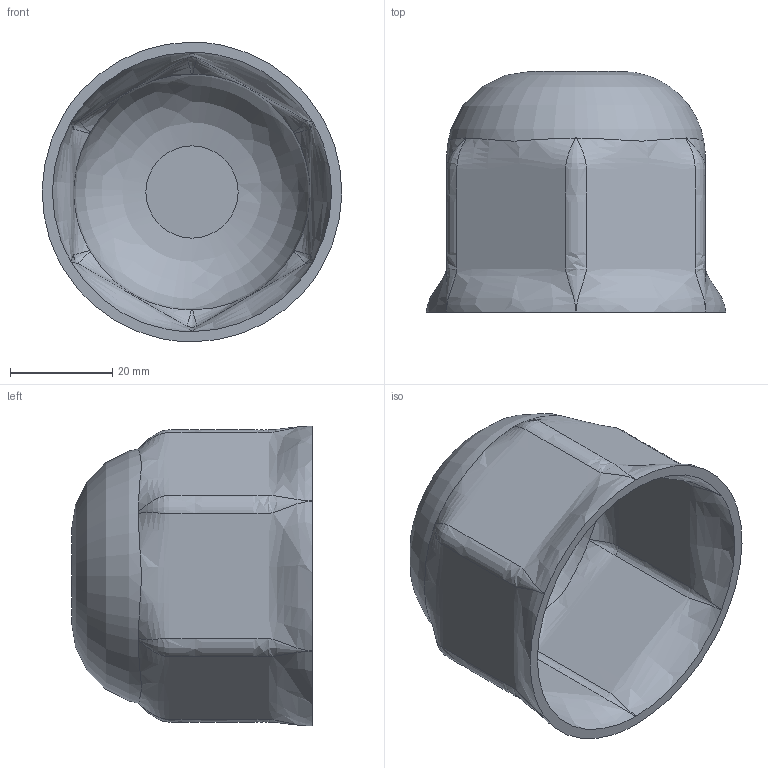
import math

import cadquery as cq

wall = 2.0
total_height = 47.0
rim_radius = 29.25
hex_apothem = 25.25
hex_corner_radius = 4.0
dome_radius = 25.15
dome_flat_radius = 9.0

flare_height = 8.4
flare_rim_round = 3.5
flare_bend = 1.2
shoulder_start = 28.0
shoulder_end = 34.2
cavity_shoulder_end = 33.0

dome_arc_radius = dome_radius - dome_flat_radius
dome_base = total_height - dome_arc_radius

sides = 6
half_side_angle = math.pi / sides
circle_corner_angle = math.radians(0.15)
face_delay = 3
seam_overlap = 0.15
blend_steps = 12
hex_steps = 12


def hex_shape(apothem, corner_radius):
    """Face radius, tangent point radius, corner radius and tangent point angle of a rounded hexagon."""
    half_flat = (apothem - corner_radius) * math.tan(half_side_angle)
    tangent_radius = math.hypot(apothem, half_flat)
    tangent_angle = math.atan2(half_flat, apothem)
    corner_reach = (apothem - corner_radius) / math.cos(half_side_angle) + corner_radius
    return apothem, tangent_radius, corner_reach, tangent_angle


def circle_shape(radius):
    """The same four values for a circle, where the corners have shrunk to slivers."""
    return radius, radius, radius, half_side_angle - circle_corner_angle


def section(height, shape):
    """Closed wire of six side arcs and six corner arcs at the given height."""
    face_radius, tangent_radius, corner_reach, tangent_angle = shape

    def point(radius, angle):
        return cq.Vector(radius * math.cos(angle), height, radius * math.sin(angle))

    edges = []
    for side in range(sides):
        middle = 2 * half_side_angle * side
        side_start = point(tangent_radius, middle - tangent_angle)
        side_end = point(tangent_radius, middle + tangent_angle)
        next_start = point(tangent_radius, middle + 2 * half_side_angle - tangent_angle)
        corner = point(corner_reach, middle + half_side_angle)
        chord_distance = tangent_radius * math.cos(tangent_angle)
        if math.isclose(face_radius, chord_distance):
            edges.append(cq.Edge.makeLine(side_start, side_end))
        else:
            edges.append(cq.Edge.makeThreePointArc(side_start, point(face_radius, middle), side_end))
        edges.append(cq.Edge.makeThreePointArc(side_end, corner, next_start))
    return cq.Wire.assembleEdges(edges)


def mix(start_shape, end_shape, shares):
    """Shape part of the way between two shapes, each of its four values with its own share."""
    return [a + (b - a) * share for a, b, share in zip(start_shape, end_shape, shares)]


def flare_share(progress):
    """Share of hexagon over the flare: a straight slope, rounded off at the rim and at the hexagon."""
    height = progress * flare_height
    slope = 1 / (flare_height - flare_rim_round / 2 - flare_bend / 2)
    if height < flare_rim_round:
        return slope * height**2 / (2 * flare_rim_round)
    if height < flare_height - flare_bend:
        return slope * (height - flare_rim_round / 2)
    return 1 - slope * (flare_height - height) ** 2 / (2 * flare_bend)


def shoulder_shares(progress):
    """Shares of circle over the shoulder: quarter cosine at the corners, the faces closing in later."""
    share = 1 - math.cos(progress * math.pi / 2)
    return share**face_delay, share, share, share


def dome_radius_at(height, inset):
    """Radius of the dome, shrunk inward by the inset, at a height on its rounded part."""
    arc_radius = dome_arc_radius - inset
    return dome_flat_radius + math.sqrt(arc_radius**2 - (height - dome_base) ** 2)


def dome(inset):
    """Dome with a flat end and a quarter-circle shoulder, standing on the shoulder start."""
    arc_radius = dome_arc_radius - inset
    diagonal = arc_radius * math.sqrt(0.5)
    return (
        cq.Workplane("XY")
        .moveTo(0, shoulder_start)
        .lineTo(dome_flat_radius + arc_radius, shoulder_start)
        .lineTo(dome_flat_radius + arc_radius, dome_base)
        .threePointArc(
            (dome_flat_radius + diagonal, dome_base + diagonal),
            (dome_flat_radius, dome_base + arc_radius),
        )
        .lineTo(0, dome_base + arc_radius)
        .close()
        .revolve(360, (0, 0, 0), (0, 1, 0))
    )


def flare_sections(rim, hexagon):
    """Sections from the round rim up to the hexagon."""
    sections = []
    for step in range(blend_steps + 1):
        progress = step / blend_steps
        shares = [flare_share(progress)] * len(hexagon)
        sections.append(section(flare_height * progress, mix(rim, hexagon, shares)))
    return sections


def hexagon_sections(hexagon):
    """Equal sections along the straight hexagon, between the flare and the shoulder."""
    spacing = (shoulder_start - flare_height) / hex_steps
    return [section(flare_height + spacing * step, hexagon) for step in range(1, hex_steps)]


def shoulder_sections(hexagon, dome_seam, shoulder_top):
    """Sections from the hexagon up to the circle just inside the dome."""
    sections = []
    for step in range(blend_steps + 1):
        progress = step / blend_steps
        height = shoulder_start + (shoulder_top - shoulder_start) * progress
        sections.append(section(height, mix(hexagon, dome_seam, shoulder_shares(progress))))
    return sections


def cap_body(inset, shoulder_top):
    """Flare, hexagon, shoulder and dome as one solid, shrunk inward by the inset."""
    hexagon = hex_shape(hex_apothem - inset, hex_corner_radius - inset)
    rim = circle_shape(rim_radius - inset)
    dome_seam = circle_shape(dome_radius_at(shoulder_top, inset) - seam_overlap)
    sections = (
        flare_sections(rim, hexagon)
        + hexagon_sections(hexagon)
        + shoulder_sections(hexagon, dome_seam, shoulder_top)
    )
    return cq.Workplane(cq.Solid.makeLoft(sections)).union(dome(inset))


outer_body = cap_body(0, shoulder_end)
cavity = cap_body(wall, cavity_shoulder_end)
result = outer_body.cut(cavity)